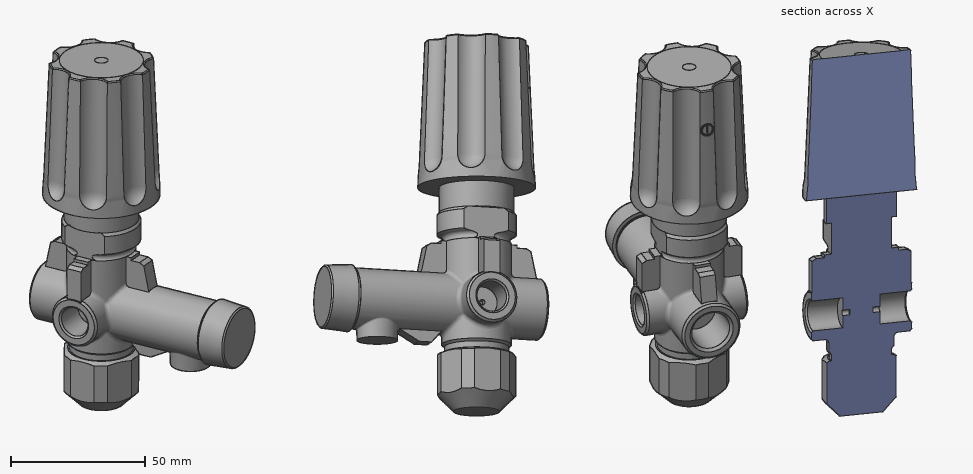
import cadquery as cq
import math


knob_bottom_z = 44.9
knob_top_z = 99.8
knob_bottom_radius = 22.0
knob_top_radius = 19.6
knob_rim_chamfer = 0.4
flute_count = 8
flute_radius = 6.3
flute_end_z = 53.9
flute_floor_radius = 16.4
dial_radius = 15.7
dial_depth = 0.07
dial_center_diameter = 5.0
screw_z = 83.4
screw_outer_diameter = 5.0
screw_inner_diameter = 4.0
screw_slot_width = 0.4
screw_depth = 0.5
cut_overshoot = 1.4

sleeve_radius = 14.0
collar_top_z = 35.3
collar_radius = 14.8
collar_chamfer_height = 1.1
collar_bottom_z = 26.9
collar_foot_radius = 13.7
collar_foot_z = 26.2
collar_neck_radius = 12.5
collar_neck_z = 24.8
flats_half_width = 12.0
trunk_radius = 13.0
trunk_top_z = 23.4
trunk_bottom_z = -14.8
trunk_bevel_height = 0.8
neck_radius = 12.0
nut_top_z = -18.0
nut_bottom_z = -40.2
nut_turned_radius = 15.0
nut_cone_radius = 8.5
nut_hex_half_width = 13.9
nut_corner_half_width = 14.5
nut_top_radius = 12.6
nut_top_chamfer_height = 1.1

pipe_radius = 11.5
pipe_left_x = -24.9
pipe_right_x = 60.0
pipe_bore_diameter = 15.0
pipe_bore_mouth_diameter = 17.1
pipe_bore_depth = 16.8
port_radius = 9.8
port_end_y = 20.0
port_bore_diameter = 11.5
port_bore_mouth_diameter = 12.9
port_bore_depth = 12.6
pilot_diameter = 2.0
pilot_depth = 2.8
mouth_chamfer = 0.8
junction_fillet = 1.5

head_start_x = 49.7
head_groove_width = 1.1
head_groove_depth = 0.3
head_start_radius = 12.6
head_end_radius = 11.9
head_end_chamfer = 0.5

rib_thickness = 6.2
rib_step_reach = 14.8
rib_top_z = 22.3
rib_shoulder_z = 21.3
rib_shoulder_run = 1.8
pipe_rib_top_reach = 20.3
pipe_rib_foot_reach = 22.4
port_rib_reach = 19.7
boss_x = 38.8
boss_radius = 7.5
boss_root_radius = 8.1
boss_bottom_z = -15.4
boss_fillet = 0.5
keel_top_start_x = 14.3
keel_bottom_start_x = 18.5
keel_bottom_end_x = 23.4
keel_top_end_x = 31.3
keel_top_z = -10.9


def revolve_about_z(profile):
    """Revolve a closed (radius, z) outline about the Z axis."""
    return cq.Workplane("XZ").polyline(profile).close().revolve(360, (0, 0), (0, 1))


def cylinder_between(start, end, radius):
    """Round bar from one point to another."""
    axis = cq.Vector(*end) - cq.Vector(*start)
    return cq.Workplane(cq.Solid.makeCylinder(radius, axis.Length, cq.Vector(*start), axis))


def knob_lean():
    """Growth of the knob's radius per unit of height downward."""
    return (knob_bottom_radius - knob_top_radius) / (knob_top_z - knob_bottom_z)


def flute_cutter():
    """Round-ended groove cutter that leans with the knob's cone."""
    top_distance = flute_floor_radius + flute_radius
    end_distance = top_distance + knob_lean() * (knob_top_z - flute_end_z)
    end = (end_distance, 0, flute_end_z)
    top = (top_distance - knob_lean() * cut_overshoot, 0, knob_top_z + cut_overshoot)
    groove = cylinder_between(end, top, flute_radius)
    return groove.union(cq.Workplane("XY").sphere(flute_radius).translate(end))


def screw_marking():
    """Ring groove and screwdriver slot on the -X side of the knob."""
    floor_x = -(knob_top_radius + knob_lean() * (knob_top_z - screw_z) - screw_depth)
    face = cq.Workplane("YZ", origin=(floor_x, 0, screw_z))
    reach = -(screw_depth + cut_overshoot)
    ring = face.circle(screw_outer_diameter / 2).circle(screw_inner_diameter / 2).extrude(reach)
    slot = face.rect(screw_slot_width, screw_inner_diameter).extrude(reach)
    return ring.union(slot)


def make_knob():
    knob = revolve_about_z([
        (0, knob_bottom_z),
        (knob_bottom_radius, knob_bottom_z),
        (knob_top_radius, knob_top_z),
        (0, knob_top_z),
    ])
    pitch = 360 / flute_count
    for index in range(flute_count):
        knob = knob.cut(flute_cutter().rotate((0, 0, 0), (0, 0, 1), (index + 0.5) * pitch))
    knob = knob.faces(">Z").edges().chamfer(knob_rim_chamfer)
    dial_z = knob_top_z - dial_depth
    dial = cq.Workplane("XY", origin=(0, 0, dial_z)).circle(dial_radius)
    knob = knob.cut(dial.circle(dial_center_diameter / 2).extrude(dial_depth))
    return knob.cut(screw_marking())


def make_crossing():
    """Trunk, pipe and the two side ports, blended where they meet."""
    trunk = cylinder_between((0, 0, trunk_bottom_z), (0, 0, trunk_top_z), trunk_radius)
    pipe = cylinder_between((pipe_left_x, 0, 0), (head_start_x, 0, 0), pipe_radius)
    ports = cylinder_between((0, -port_end_y, 0), (0, port_end_y, 0), port_radius)
    crossing = trunk.union(pipe).union(ports)
    crossing = crossing.edges("not %CIRCLE").edges("not %LINE").fillet(junction_fillet)
    boss = cq.Workplane(cq.Solid.makeCone(
        boss_radius, boss_root_radius, -boss_bottom_z, cq.Vector(boss_x, 0, boss_bottom_z)
    ))
    boss_seam = cq.selectors.BoxSelector(
        (boss_x - pipe_radius, -pipe_radius, boss_bottom_z + boss_fillet),
        (boss_x + pipe_radius, pipe_radius, 0),
    )
    crossing = crossing.union(boss)
    crossing = crossing.edges("not %CIRCLE").edges("not %LINE").edges(boss_seam).fillet(boss_fillet)
    return crossing.faces("<X or <Y or >Y").edges().chamfer(mouth_chamfer)


def make_pipe_head():
    """Tapered head that closes the +X end of the pipe."""
    profile = [
        (head_start_x, 0),
        (head_start_x, head_start_radius),
        (pipe_right_x - head_end_chamfer, head_end_radius),
        (pipe_right_x, head_end_radius - head_end_chamfer),
        (pipe_right_x, 0),
    ]
    return cq.Workplane("XY").polyline(profile).close().revolve(360, (0, 0), (1, 0))


def make_head_groove():
    """Shallow groove around the pipe just before its head."""
    groove = cq.Workplane("YZ", origin=(head_start_x, 0, 0)).circle(head_start_radius)
    return groove.circle(pipe_radius - head_groove_depth).extrude(-head_groove_width)


def make_collar():
    """Sleeve and wrench collar with two flats, standing on the trunk."""
    outline = (
        cq.Workplane("XZ")
        .moveTo(0, trunk_top_z)
        .lineTo(trunk_radius, trunk_top_z)
        .threePointArc((collar_neck_radius, collar_neck_z), (collar_foot_radius, collar_foot_z))
        .lineTo(collar_radius, collar_bottom_z)
        .lineTo(collar_radius, collar_top_z - collar_chamfer_height)
        .lineTo(sleeve_radius, collar_top_z)
        .lineTo(0, collar_top_z)
        .close()
    )
    column = outline.revolve(360, (0, 0), (0, 1))
    flats = cq.Workplane("XY", origin=(0, 0, trunk_top_z)).rect(4 * collar_radius, 2 * flats_half_width)
    column = column.intersect(flats.extrude(collar_top_z - trunk_top_z))
    sleeve = cylinder_between((0, 0, collar_top_z), (0, 0, knob_bottom_z), sleeve_radius)
    return column.union(sleeve)


def make_bottom_nut():
    """Neck and hexagonal nut with flattened corners and a conical end."""
    hex_diameter = 2 * nut_hex_half_width / math.cos(math.pi / 6)
    corner_diameter = 2 * nut_corner_half_width / math.cos(math.pi / 6)
    height = nut_top_z - nut_bottom_z
    base = cq.Workplane("XY", origin=(0, 0, nut_bottom_z))
    hexagon = base.polygon(6, hex_diameter).extrude(height)
    corners = base.polygon(6, corner_diameter).extrude(height).rotate((0, 0, 0), (0, 0, 1), 30)
    cone_rise = nut_turned_radius - nut_cone_radius
    turned = revolve_about_z([
        (0, nut_bottom_z),
        (nut_cone_radius, nut_bottom_z),
        (nut_turned_radius, nut_bottom_z + cone_rise),
        (nut_turned_radius, nut_top_z - nut_top_chamfer_height),
        (nut_top_radius, nut_top_z),
        (0, nut_top_z),
    ])
    neck = revolve_about_z([
        (0, nut_top_z),
        (neck_radius, nut_top_z),
        (neck_radius, trunk_bottom_z - trunk_bevel_height),
        (trunk_radius, trunk_bottom_z),
        (0, trunk_bottom_z),
    ])
    return hexagon.intersect(corners).intersect(turned).union(neck)


def make_rib(top_reach, foot_reach, angle):
    """Upright rib from the trunk out over the arm at the given angle about Z."""
    outline = [
        (0, 0),
        (foot_reach, 0),
        (foot_reach, pipe_radius),
        (top_reach, rib_shoulder_z),
        (top_reach - rib_shoulder_run, rib_top_z),
        (rib_step_reach, rib_top_z),
        (rib_step_reach, trunk_top_z),
        (0, trunk_top_z),
    ]
    rib = cq.Workplane("XZ").polyline(outline).close().extrude(rib_thickness / 2, both=True)
    return rib.rotate((0, 0, 0), (0, 0, 1), angle)


def make_keel():
    """Small rib under the pipe, between the trunk and the boss."""
    outline = [
        (keel_top_start_x, keel_top_z),
        (keel_bottom_start_x, boss_bottom_z),
        (keel_bottom_end_x, boss_bottom_z),
        (keel_top_end_x, keel_top_z),
        (keel_top_end_x, 0),
        (keel_top_start_x, 0),
    ]
    return cq.Workplane("XZ").polyline(outline).close().extrude(rib_thickness / 2, both=True)


def make_bore(diameter, mouth_diameter, depth):
    """Blind bore along +X from the origin, with a countersunk mouth."""
    bore = cylinder_between((0, 0, 0), (depth, 0, 0), diameter / 2)
    sink = (mouth_diameter - diameter) / 2
    mouth = cq.Solid.makeCone(
        mouth_diameter / 2, diameter / 2, sink, cq.Vector(0, 0, 0), cq.Vector(1, 0, 0)
    )
    return bore.union(cq.Workplane(mouth))


def make_valve():
    valve = make_crossing().union(make_pipe_head()).cut(make_head_groove())
    valve = valve.union(make_collar()).union(make_bottom_nut()).union(make_keel())
    for angle in (0, 180):
        valve = valve.union(make_rib(pipe_rib_top_reach, pipe_rib_foot_reach, angle))
    for angle in (90, 270):
        valve = valve.union(make_rib(port_rib_reach, port_rib_reach, angle))
    pipe_bore = make_bore(pipe_bore_diameter, pipe_bore_mouth_diameter, pipe_bore_depth)
    valve = valve.cut(pipe_bore.translate((pipe_left_x, 0, 0)))
    for angle in (90, 270):
        port_bore = make_bore(port_bore_diameter, port_bore_mouth_diameter, port_bore_depth)
        pilot_end = (port_bore_depth + pilot_depth, 0, 0)
        port_bore = port_bore.union(cylinder_between((0, 0, 0), pilot_end, pilot_diameter / 2))
        port_bore = port_bore.translate((-port_end_y, 0, 0))
        valve = valve.cut(port_bore.rotate((0, 0, 0), (0, 0, 1), angle))
    return valve


knob = make_knob()
valve = make_valve()
result = cq.Compound.makeCompound([knob.val(), valve.val()])